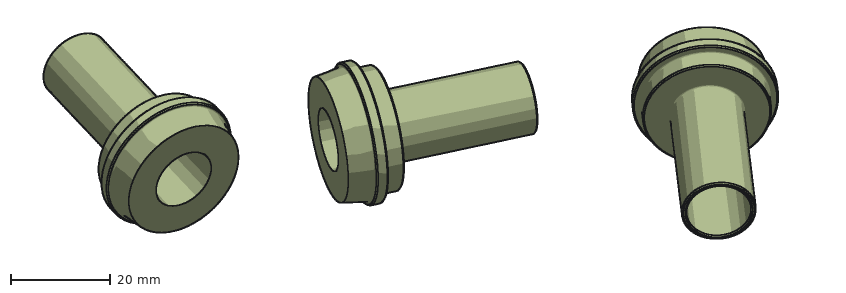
import cadquery as cq

total_length = 42
boss_start = 30.07
collar_start = 34.0
collar_end = 36.55

bore_radius = 13 / 2
tube_radius = 15.0 / 2
boss_radius = 26.0 / 2
collar_radius = 29.5 / 2
cone_large_radius = 13.9
cone_small_radius = boss_radius

edge_chamfer = 0.3
root_fillet = 0.38
cone_root_fillet = 0.25


def cylinder(radius, start, end):
    """Solid cylinder about the X axis between two X positions."""
    return cq.Workplane("YZ", origin=(start, 0, 0)).circle(radius).extrude(end - start)


def frustum(start_radius, end_radius, start, end):
    """Solid frustum about the X axis between two X positions."""
    profile = [(start, 0), (start, start_radius), (end, end_radius), (end, 0)]
    return cq.Workplane("XY").polyline(profile).close().revolve(360, (0, 0, 0), (1, 0, 0))


def edges_at(body, x, radius):
    """Circular edges with the given X position and radius."""
    tolerance = 0.005
    corner = (x - tolerance, -radius - tolerance, -radius - tolerance)
    opposite = (x + tolerance, radius + tolerance, radius + tolerance)
    inner = radius - tolerance
    in_slab = cq.selectors.BoxSelector(corner, opposite, boundingbox=True)
    edges = [e for e in body.edges(in_slab).vals() if e.geomType() == "CIRCLE" and e.radius() > inner]
    return body.newObject(edges)


body = cylinder(tube_radius, 0, boss_start)
body = body.union(cylinder(boss_radius, boss_start, collar_start))
body = body.union(cylinder(collar_radius, collar_start, collar_end))
body = body.union(frustum(cone_large_radius, cone_small_radius, collar_end, total_length))

rims = [
    (0, tube_radius),
    (boss_start, boss_radius),
    (collar_start, collar_radius),
    (collar_end, collar_radius),
]
for x, radius in rims:
    body = edges_at(body, x, radius).chamfer(edge_chamfer)

roots = [
    (boss_start, tube_radius, root_fillet),
    (collar_start, boss_radius, root_fillet),
    (collar_end, cone_large_radius, cone_root_fillet),
]
for x, radius, fillet in roots:
    body = edges_at(body, x, radius).fillet(fillet)

body = body.cut(cylinder(bore_radius, 0, total_length))
result = edges_at(body, 0, bore_radius).chamfer(edge_chamfer)